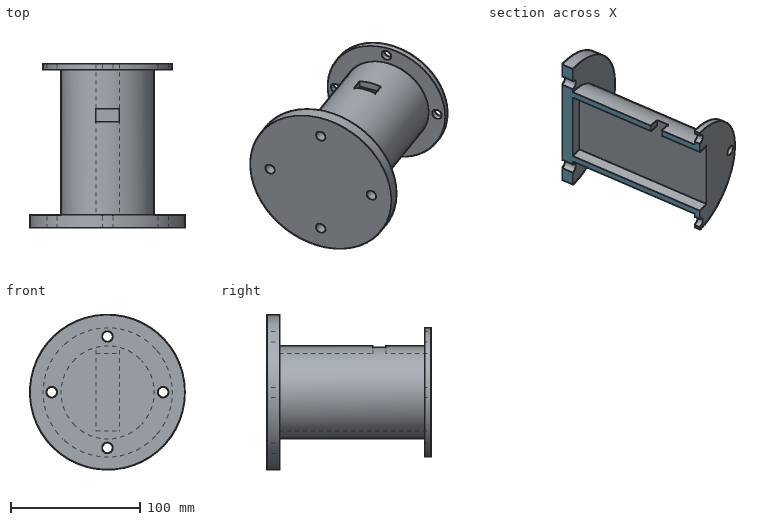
import cadquery as cq

length = 127.0

base_diameter = 120.0
base_thickness = 10.0
end_diameter = 100.0
end_thickness = 5.0

barrel_diameter = 72.0

slot_width = 18.0
slot_height = 60.0

hole_diameter = 8.0
hole_circle_radius = 43.0
hole_count = 4

window_width = slot_width
window_length = 10.0
window_from_end = 40.0

front_y = -length / 2
barrel_start_y = front_y + base_thickness
barrel_length = length - base_thickness
end_flange_y = length / 2 - end_thickness


def plane_across_axis(y):
    """Workplane square to the Y axis, facing +Y."""
    return cq.Workplane(cq.Plane(origin=(0, y, 0), xDir=(1, 0, 0), normal=(0, 1, 0)))


def disc(diameter, start_y, thickness):
    """Solid disc on the Y axis, growing toward +Y from start_y."""
    return plane_across_axis(start_y).circle(diameter / 2).extrude(thickness)


def slot():
    """Cutter open at the +Y end and stopping at the solid base flange."""
    return (
        plane_across_axis(barrel_start_y)
        .rect(slot_width, slot_height)
        .extrude(barrel_length)
    )


def bolt_holes():
    """Four cutters parallel to Y, running the whole length of the part."""
    return (
        plane_across_axis(front_y)
        .polarArray(hole_circle_radius, 0, 360, hole_count)
        .circle(hole_diameter / 2)
        .extrude(length)
    )


def window():
    """Cutter from the axis up through the top wall of the barrel."""
    return (
        cq.Workplane("XY")
        .center(0, length / 2 - window_from_end)
        .rect(window_width, window_length)
        .extrude(barrel_diameter)
    )


base = disc(base_diameter, front_y, base_thickness)
barrel = disc(barrel_diameter, barrel_start_y, barrel_length)
end_flange = disc(end_diameter, end_flange_y, end_thickness)

result = base.union(barrel).union(end_flange).cut(slot()).cut(bolt_holes()).cut(window())